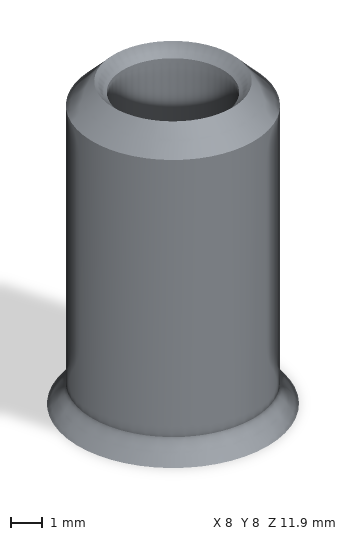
import cadquery as cq

height = 11.9
body_diameter = 6.8
flange_diameter = 8.0
bore_diameter = 4.2
top_rim_diameter = 5.0
top_chamfer_height = 0.89
flange_height = 0.79
countersink_depth = 0.4

body_radius = body_diameter / 2
flange_radius = flange_diameter / 2
bore_radius = bore_diameter / 2
top_rim_radius = top_rim_diameter / 2

half_section = [
    (bore_radius, 0),
    (flange_radius, 0),
    (body_radius, flange_height),
    (body_radius, height - top_chamfer_height),
    (top_rim_radius, height),
    (bore_radius, height - countersink_depth),
]

result = (
    cq.Workplane("XZ")
    .polyline(half_section)
    .close()
    .revolve(360, (0, 0, 0), (0, 1, 0))
)